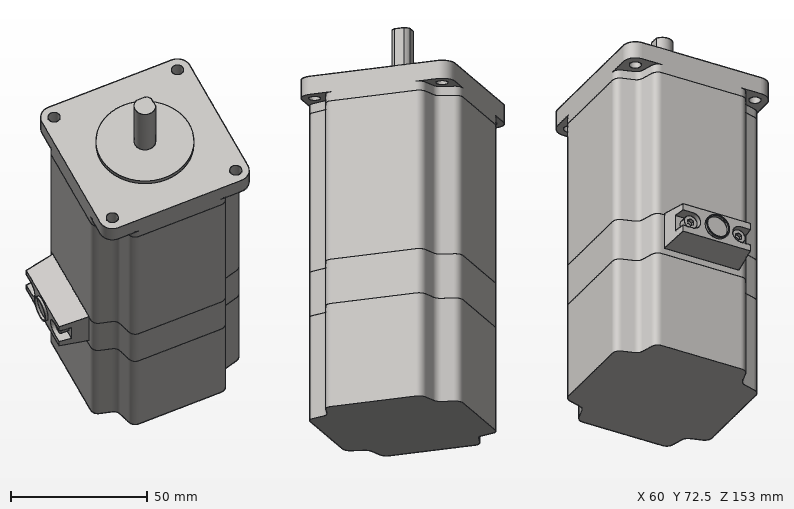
import cadquery as cq
import math

HEX_SIDES = 6

total_height = 153.0
body_width = 60.0
flange_corner_radius = 5.0
flange_thickness = 7.0
end_bell_height = 10.5
rear_cover_height = 40.0
encoder_ring_height = 17.1
shaft_above_flange = 24.0

notch_apex_inset = 8.5
notch_wall_tilt = 16.0
notch_fillet = 3.0

mount_hole_spacing = 50.0
mount_hole_diameter = 4.5
pilot_diameter = 36.0
pilot_height = 1.7
shaft_diameter = 8.0
shaft_flat_length = 20.0
shaft_flat_distance = 3.5

connector_width = 31.2
connector_height = 15.0
connector_depth = 11.5
connector_tip_inset = 1.5
connector_center_z = 50.0
rim_diameter = 9.6
rim_wall = 0.5
rim_height = 1.0
screw_spacing = 20.0
slot_width = 6.6
slot_depth = 4.7
screw_head_diameter = 5.4
screw_head_height = 3.2
socket_width = 2.5
socket_depth = 1.5

half_width = body_width / 2
flange_top_z = total_height - shaft_above_flange
flange_bottom_z = flange_top_z - flange_thickness
end_bell_bottom_z = flange_top_z - end_bell_height
encoder_top_z = rear_cover_height + encoder_ring_height
connector_tip_y = -half_width - connector_depth
slot_floor_y = connector_tip_y + slot_depth


def notched_prism(bottom_z, top_z):
    """Square column whose four corners are cut by V notches with rounded edges."""
    apex = half_width - notch_apex_inset
    mouth = apex - notch_apex_inset * math.tan(math.radians(notch_wall_tilt))
    corner = [(half_width, mouth), (apex, apex), (mouth, half_width)]
    outline = []
    for quarter in range(4):
        turn = math.radians(90 * quarter)
        for x, y in corner:
            outline.append((
                x * math.cos(turn) - y * math.sin(turn),
                x * math.sin(turn) + y * math.cos(turn),
            ))
    return (
        cq.Workplane("XY", origin=(0, 0, bottom_z))
        .polyline(outline)
        .close()
        .extrude(top_z - bottom_z)
        .edges("|Z")
        .fillet(notch_fillet)
    )


def make_shaft():
    """Output shaft with two flats, facing -X and +Y, along its free end."""
    shaft = (
        cq.Workplane("XY", origin=(0, 0, flange_top_z + pilot_height))
        .circle(shaft_diameter / 2)
        .extrude(shaft_above_flange - pilot_height)
    )
    flat_offset = shaft_flat_distance + shaft_diameter / 2
    for x, y in [(-flat_offset, 0), (0, flat_offset)]:
        flat_cutter = (
            cq.Workplane("XY", origin=(x, y, total_height - shaft_flat_length))
            .rect(shaft_diameter, shaft_diameter)
            .extrude(shaft_flat_length)
        )
        shaft = shaft.cut(flat_cutter)
    return shaft


def make_front_end():
    """Front end bell: square flange, notched skirt, pilot boss and output shaft."""
    flange = (
        cq.Workplane("XY", origin=(0, 0, flange_bottom_z))
        .rect(body_width, body_width)
        .extrude(flange_thickness)
        .edges("|Z")
        .fillet(flange_corner_radius)
    )
    mount_holes = (
        cq.Workplane("XY", origin=(0, 0, flange_bottom_z))
        .rect(mount_hole_spacing, mount_hole_spacing, forConstruction=True)
        .vertices()
        .circle(mount_hole_diameter / 2)
        .extrude(flange_thickness)
    )
    pilot_boss = (
        cq.Workplane("XY", origin=(0, 0, flange_top_z))
        .circle(pilot_diameter / 2)
        .extrude(pilot_height)
    )
    skirt = notched_prism(end_bell_bottom_z, flange_bottom_z)
    return flange.cut(mount_holes).union(skirt).union(pilot_boss).union(make_shaft())


def connector_plane(y):
    """Workplane facing -Y, centred on the connector at the given depth."""
    return cq.Workplane("XZ", origin=(0, y, connector_center_z))


def make_screw(x):
    """Socket head screw standing on the slot floor, its hexagon socket pointing up and down."""
    socket_corner_diameter = socket_width / math.cos(math.pi / HEX_SIDES)
    head = (
        connector_plane(slot_floor_y)
        .center(x, 0)
        .circle(screw_head_diameter / 2)
        .extrude(screw_head_height)
    )
    socket = (
        connector_plane(slot_floor_y - screw_head_height)
        .center(x, 0)
        .transformed(rotate=(0, 0, 90))
        .polygon(HEX_SIDES, socket_corner_diameter)
        .extrude(-socket_depth)
    )
    return head.cut(socket)


def make_connector():
    """Tapered connector block with a round rim and two screws in open-ended slots."""
    taper = math.degrees(math.atan(connector_tip_inset / connector_depth))
    connector = (
        connector_plane(-half_width)
        .rect(connector_width, connector_height)
        .extrude(connector_depth, taper=taper)
    )
    rim = (
        connector_plane(connector_tip_y)
        .circle(rim_diameter / 2)
        .circle(rim_diameter / 2 - rim_wall)
        .extrude(rim_height)
    )
    connector = connector.union(rim)
    for side in (-1, 1):
        screw_x = side * screw_spacing / 2
        slot_round_end = (
            connector_plane(connector_tip_y)
            .center(screw_x, 0)
            .circle(slot_width / 2)
            .extrude(-slot_depth)
        )
        slot_straight = (
            connector_plane(connector_tip_y)
            .center(screw_x + side * connector_width / 4, 0)
            .rect(connector_width / 2, slot_width)
            .extrude(-slot_depth)
        )
        connector = connector.cut(slot_round_end).cut(slot_straight).union(make_screw(screw_x))
    return connector


front_end = make_front_end()
stator = notched_prism(encoder_top_z, end_bell_bottom_z)
encoder_ring = notched_prism(rear_cover_height, encoder_top_z)
rear_cover = notched_prism(0, rear_cover_height)
connector = make_connector()

result = cq.Compound.makeCompound([
    front_end.val(),
    stator.val(),
    encoder_ring.val(),
    rear_cover.val(),
    connector.val(),
])